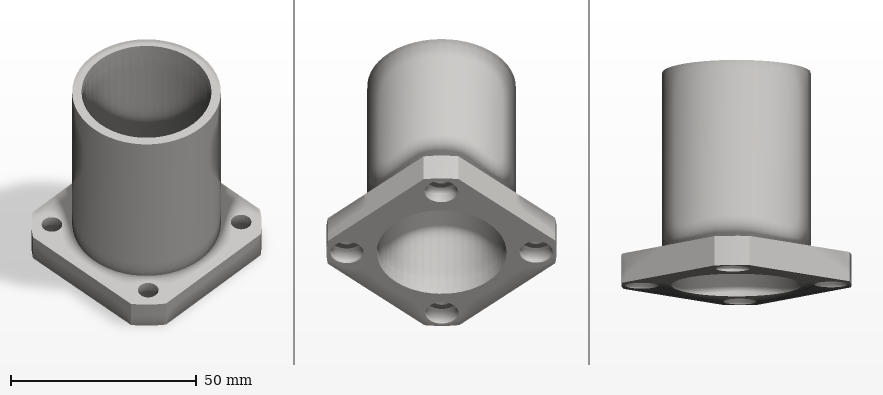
import cadquery as cq

total_height = 58.0
flange_side = 50.0
flange_thickness = 8.0
flange_corner_diameter = 62.0

tube_diameter = 40.0
bore_diameter = 35.0

hole_spacing = 36.0
hole_diameter = 5.5
counterbore_diameter = 9.0
counterbore_depth = 5.1


def make_flange():
    """Square plate whose corners are trimmed by a circle about the tube axis."""
    square = cq.Workplane("XY").rect(flange_side, flange_side).extrude(flange_thickness)
    disc = cq.Workplane("XY").circle(flange_corner_diameter / 2).extrude(flange_thickness)
    return square.intersect(disc)


def make_corner_cylinders(diameter, height):
    """Four cylinders standing on the underside plane, one at each mounting hole."""
    return (
        cq.Workplane("XY")
        .rect(hole_spacing, hole_spacing, forConstruction=True)
        .vertices()
        .circle(diameter / 2)
        .extrude(height)
    )


tube = cq.Workplane("XY").circle(tube_diameter / 2).extrude(total_height)
bore = cq.Workplane("XY").circle(bore_diameter / 2).extrude(total_height)

mounting_holes = make_corner_cylinders(hole_diameter, flange_thickness)
counterbores = make_corner_cylinders(counterbore_diameter, counterbore_depth)

result = make_flange().union(tube).cut(bore).cut(mounting_holes).cut(counterbores)